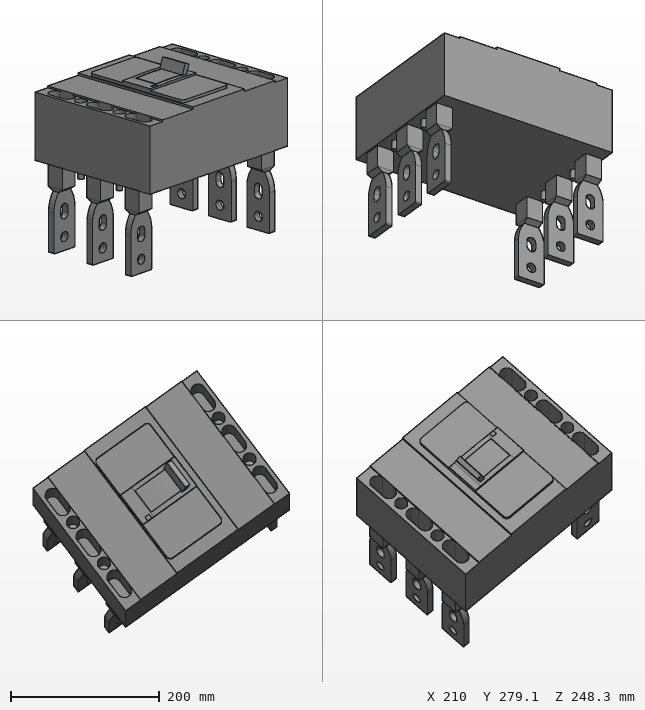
import cadquery as cq
import math

HOUSING_WIDTH = 210.0
HOUSING_LENGTH = 273.5
END_LEDGE_Z = 96.8
SHOULDER_Z = 99.3
CROWN_Z = 102.7
SHOULDER_HALF_LENGTH = 111.5
CROWN_HALF_LENGTH = 51.0

PLATE_WIDTH = 170.7
PLATE_REAR_Y = 41.0
PLATE_FRONT_Y = -49.5
PLATE_TOP_Z = 106.9
PLATE_CORNER_RADIUS = 6.0
BAND_WIDTH = 50.8
BAND_TOP_Z = 109.6

SADDLE_HALF_LENGTH = 31.2
SADDLE_RISE = 0.8
PAD_WIDTH = 36.5
PAD_LIFT = 0.5
PAD_FRONT_Y = -30.0
LEVER_WIDTH = 41.3
LEVER_THICKNESS = 7.8
LEVER_TILT = 20.0
LEVER_TOP_Z = 125.8
LEVER_TIP_Y = 25.0

BUTTON_WIDTH = 6.5
BUTTON_LENGTH = 6.7
BUTTON_HEIGHT = 0.3
BUTTON_X = 22.0
BUTTON_Y = -37.7

POLE_PITCH = 70.0
POLE_COLUMNS = [-POLE_PITCH, 0, POLE_PITCH]
SCREW_COLUMNS = [-POLE_PITCH / 2, POLE_PITCH / 2]
ROW_Y = 121.5
POLE_CENTERS = [(x, y) for x in POLE_COLUMNS for y in (-ROW_Y, ROW_Y)]
SCREW_CENTERS = [(x, y) for x in SCREW_COLUMNS for y in (-ROW_Y, ROW_Y)]

SLOT_LENGTH = 42.5
SLOT_WIDTH = 2 * (ROW_Y - SHOULDER_HALF_LENGTH)
POCKET_DEPTH = 50.2

HEAD_DIAMETER = 17.3
HEAD_HEIGHT = 8.5
HEAD_ROUNDING = 6.0
SHANK_DIAMETER = 9.0
SHANK_PROTRUSION = 13.5

POST_SIDE = 25.7
POST_LENGTH = 32.0
NECK_LENGTH = 5.3
NECK_WIDTH = 23.5
BLADE_WIDTH = 41.8
BLADE_THICKNESS = 10.0
SHOULDER_LENGTH = 26.8
TERMINAL_LENGTH = 122.5
BLADE_CORNER_RADIUS = 2.0
BLADE_HOLE_DIAMETER = 14.0
BLADE_HOLE_Z = -102.7
BLADE_SLOT_LENGTH = 21.8
BLADE_SLOT_Z = -66.7


def block(width, y_front, y_rear, z_low, z_high):
    """Box centred on X that spans the given Y and Z ranges."""
    return (
        cq.Workplane("XY", origin=(0, (y_front + y_rear) / 2, z_low))
        .rect(width, y_rear - y_front)
        .extrude(z_high - z_low)
    )


def stepped_housing():
    base = block(HOUSING_WIDTH, -HOUSING_LENGTH / 2, HOUSING_LENGTH / 2, 0, END_LEDGE_Z)
    shoulder = block(HOUSING_WIDTH, -SHOULDER_HALF_LENGTH, SHOULDER_HALF_LENGTH, 0, SHOULDER_Z)
    crown = block(HOUSING_WIDTH, -CROWN_HALF_LENGTH, CROWN_HALF_LENGTH, 0, CROWN_Z)
    return base.union(shoulder).union(crown)


def escutcheon():
    plate = block(PLATE_WIDTH, PLATE_FRONT_Y, PLATE_REAR_Y, CROWN_Z, PLATE_TOP_Z)
    plate = plate.edges("|Z").fillet(PLATE_CORNER_RADIUS)
    band = block(BAND_WIDTH, PLATE_FRONT_Y, PLATE_REAR_Y, CROWN_Z, BAND_TOP_Z)
    button = (
        cq.Workplane("XY", origin=(BUTTON_X, BUTTON_Y, BAND_TOP_Z))
        .rect(BUTTON_WIDTH, BUTTON_LENGTH)
        .extrude(BUTTON_HEIGHT)
    )
    return plate.union(band).union(button)


def saddle(width, lift):
    """Part of a cylinder about X whose top is a shallow arch over the band."""
    apex_z = BAND_TOP_Z + lift + SADDLE_RISE
    end_z = BAND_TOP_Z + lift
    return (
        cq.Workplane("YZ", origin=(-width / 2, 0, 0))
        .moveTo(-SADDLE_HALF_LENGTH, CROWN_Z)
        .lineTo(-SADDLE_HALF_LENGTH, end_z)
        .threePointArc((0, apex_z), (SADDLE_HALF_LENGTH, end_z))
        .lineTo(SADDLE_HALF_LENGTH, CROWN_Z)
        .close()
        .extrude(width)
    )


def lever():
    """Flat paddle leaning towards +Y; its front top edge is at LEVER_TIP_Y, LEVER_TOP_Z."""
    tilt = math.radians(LEVER_TILT)
    length = (LEVER_TOP_Z - CROWN_Z) / math.cos(tilt)
    return (
        cq.Workplane("XY")
        .box(LEVER_WIDTH, LEVER_THICKNESS, length, centered=(True, False, False))
        .translate((0, 0, -length))
        .rotate((0, 0, 0), (1, 0, 0), -LEVER_TILT)
        .translate((0, LEVER_TIP_Y, LEVER_TOP_Z))
    )


def rocker():
    pad_limits = block(PAD_WIDTH, PAD_FRONT_Y, LEVER_TIP_Y, CROWN_Z, LEVER_TOP_Z)
    pad = saddle(PAD_WIDTH, PAD_LIFT).intersect(pad_limits)
    return saddle(BAND_WIDTH, 0).union(pad).union(lever())


def terminal():
    """Terminal on the Z axis with its blade across X and its top at Z = 0."""
    post = cq.Workplane("XY").rect(POST_SIDE, POST_SIDE).extrude(-POST_LENGTH)
    neck = (
        cq.Workplane("XY", origin=(0, 0, -POST_LENGTH))
        .rect(POST_SIDE, POST_SIDE)
        .workplane(offset=-NECK_LENGTH)
        .rect(NECK_WIDTH, BLADE_THICKNESS)
        .loft(ruled=True)
    )
    return post.union(neck).union(blade())


def blade():
    top_z = -POST_LENGTH - NECK_LENGTH
    shoulder_z = top_z - SHOULDER_LENGTH
    half_neck = NECK_WIDTH / 2
    half_blade = BLADE_WIDTH / 2

    inset = half_blade - half_neck
    radius = (inset**2 + SHOULDER_LENGTH**2) / (2 * inset)
    half_angle = math.asin(SHOULDER_LENGTH / radius) / 2
    arc_x = half_blade - radius * (1 - math.cos(half_angle))
    arc_z = shoulder_z + radius * math.sin(half_angle)

    plate = (
        cq.Workplane("XZ")
        .moveTo(-half_neck, top_z)
        .lineTo(half_neck, top_z)
        .threePointArc((arc_x, arc_z), (half_blade, shoulder_z))
        .lineTo(half_blade, -TERMINAL_LENGTH)
        .lineTo(-half_blade, -TERMINAL_LENGTH)
        .lineTo(-half_blade, shoulder_z)
        .threePointArc((-arc_x, arc_z), (-half_neck, top_z))
        .close()
        .extrude(BLADE_THICKNESS / 2, both=True)
    )
    plate = plate.faces("<Z").edges("|Y").fillet(BLADE_CORNER_RADIUS)
    round_hole = (
        cq.Workplane("XZ")
        .center(0, BLADE_HOLE_Z)
        .circle(BLADE_HOLE_DIAMETER / 2)
        .extrude(BLADE_THICKNESS, both=True)
    )
    long_hole = (
        cq.Workplane("XZ")
        .center(0, BLADE_SLOT_Z)
        .slot2D(BLADE_SLOT_LENGTH, BLADE_HOLE_DIAMETER, 90)
        .extrude(BLADE_THICKNESS, both=True)
    )
    return plate.cut(round_hole).cut(long_hole)


def pockets():
    """Blind terminal slots and stepped screw holes, in both end ledges."""
    ledge = cq.Workplane("XY", origin=(0, 0, END_LEDGE_Z))
    slots = ledge.pushPoints(POLE_CENTERS).slot2D(SLOT_LENGTH, SLOT_WIDTH).extrude(-POCKET_DEPTH)
    wells = ledge.pushPoints(SCREW_CENTERS).circle(HEAD_DIAMETER / 2).extrude(-POCKET_DEPTH)
    bores = ledge.pushPoints(SCREW_CENTERS).circle(SHANK_DIAMETER / 2).extrude(-END_LEDGE_Z)
    return slots.union(wells).union(bores)


def breaker():
    """Housing with its escutcheon, rocker and six terminals, as one solid."""
    body = stepped_housing().union(escutcheon()).union(rocker())
    for x in POLE_COLUMNS:
        body = body.union(terminal().translate((x, ROW_Y, 0)))
        turned = terminal().rotate((0, 0, 0), (0, 0, 1), 90)
        body = body.union(turned.translate((x, -ROW_Y, 0)))
    return body.cut(pockets())


def screw(x, y):
    """Round-headed screw seated on the floor of its well."""
    seat_z = END_LEDGE_Z - POCKET_DEPTH
    head = cq.Workplane("XY", origin=(x, y, seat_z)).circle(HEAD_DIAMETER / 2).extrude(HEAD_HEIGHT)
    head = head.faces(">Z").edges().fillet(HEAD_ROUNDING)
    shank = (
        cq.Workplane("XY", origin=(x, y, seat_z))
        .circle(SHANK_DIAMETER / 2)
        .extrude(-seat_z - SHANK_PROTRUSION)
    )
    return head.union(shank)


housing = breaker()
screws = [screw(x, y) for x, y in SCREW_CENTERS]

result = cq.Compound.makeCompound([housing.val(), *[item.val() for item in screws]])